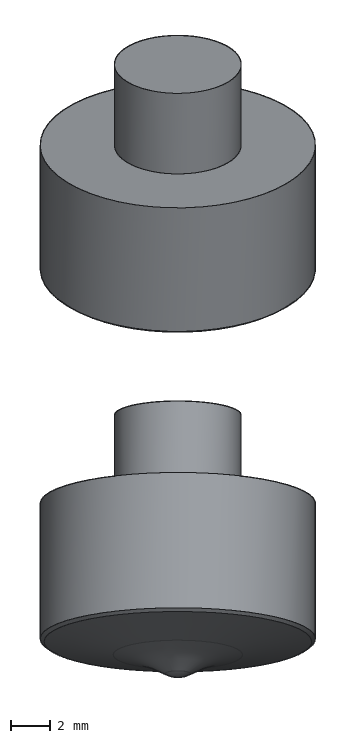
import cadquery as cq
import math

overall_height = 13.76
body_diameter = 14.1
shank_diameter = 6.5
shank_length = 4.64

rim_width = 0.2
rim_height = 0.15

cone_angle = math.radians(11)
tip_angle = math.radians(30)
blend_radius = 8.6
tip_radius = 1.3

body_radius = body_diameter / 2
shank_radius = shank_diameter / 2
shoulder_z = overall_height - shank_length


def tip_point(slope):
    """Point (r, z) of the convex tip arc where it has the given slope."""
    return tip_radius * math.sin(slope), tip_radius * (1 - math.cos(slope))


tip_edge_r, tip_edge_z = tip_point(tip_angle)


def blend_point(slope):
    """Point (r, z) of the concave blend arc where it has the given slope."""
    r = tip_edge_r + blend_radius * (math.sin(tip_angle) - math.sin(slope))
    z = tip_edge_z + blend_radius * (math.cos(slope) - math.cos(tip_angle))
    return r, z


blend_edge_r, blend_edge_z = blend_point(cone_angle)
cone_edge_r = body_radius - rim_width
cone_edge_z = blend_edge_z + (cone_edge_r - blend_edge_r) * math.tan(cone_angle)
rim_z = cone_edge_z + rim_height


def half_profile():
    """Closed half section of the turned part, from the tip up to the shank end."""
    return (
        cq.Workplane("XZ")
        .moveTo(0, 0)
        .threePointArc(tip_point(tip_angle / 2), (tip_edge_r, tip_edge_z))
        .threePointArc(blend_point((tip_angle + cone_angle) / 2), (blend_edge_r, blend_edge_z))
        .lineTo(cone_edge_r, cone_edge_z)
        .lineTo(body_radius, rim_z)
        .lineTo(body_radius, shoulder_z)
        .lineTo(shank_radius, shoulder_z)
        .lineTo(shank_radius, overall_height)
        .lineTo(0, overall_height)
        .close()
    )


result = half_profile().revolve(360, (0, 0, 0), (0, 1, 0))